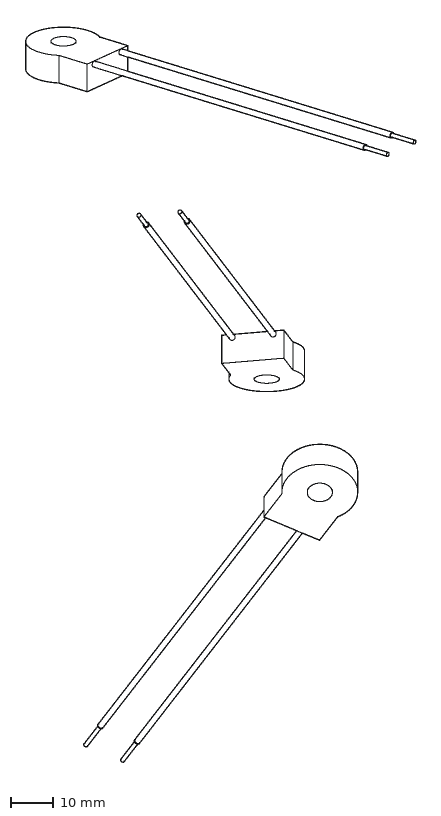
import cadquery as cq

head_diameter = 18.0
body_height = 7.1
body_length = 22.5
block_width = 15.2
hole_diameter = 6.0

overall_length = 112.4
wire_pitch = 10.0
insulation_diameter = 1.5
core_diameter = 1.0
stripped_length = 7.0
wire_drop = 0.8

head_radius = head_diameter / 2
block_end_x = body_length - head_radius
wire_end_x = overall_length - head_radius
insulation_end_x = wire_end_x - stripped_length
wire_z = body_height - wire_drop


def make_body():
    head = cq.Workplane("XY").circle(head_radius).extrude(body_height)
    block = cq.Workplane("XY").box(block_end_x, block_width, body_height, centered=(False, True, False))
    hole = cq.Workplane("XY").circle(hole_diameter / 2).extrude(body_height)
    return head.union(block).cut(hole)


def make_rod(diameter, start_x, end_x, y):
    """Round rod along X at the height of the wires."""
    section = cq.Workplane("YZ", origin=(start_x, y, wire_z)).circle(diameter / 2)
    return section.extrude(end_x - start_x)


def make_wire(y):
    insulation = make_rod(insulation_diameter, block_end_x, insulation_end_x, y)
    core = make_rod(core_diameter, insulation_end_x, wire_end_x, y)
    return insulation.union(core)


result = make_body()
for side in (-1, 1):
    result = result.union(make_wire(side * wire_pitch / 2))